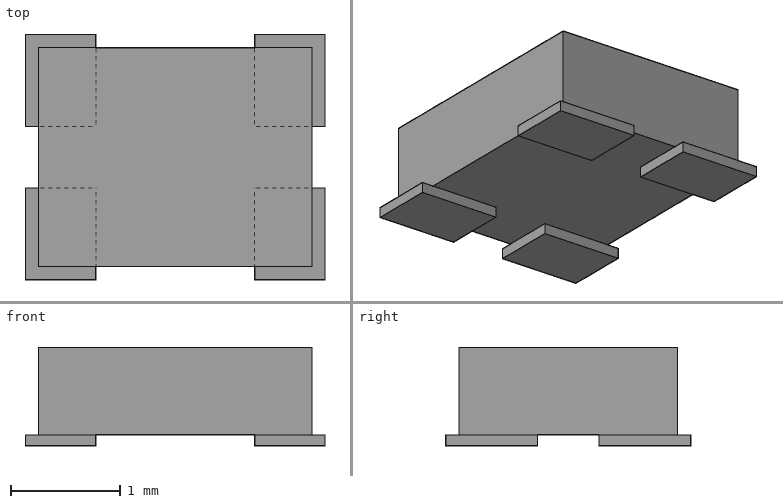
import cadquery as cq

footprint_x = 2.74
footprint_y = 2.24
total_height = 0.9

pad_x = 0.645
pad_y = 0.84
pad_thickness = 0.101

pad_overhang = 0.12
package_x = footprint_x - 2 * pad_overhang
package_y = footprint_y - 2 * pad_overhang
package_height = total_height - pad_thickness

pad_center_x = (footprint_x - pad_x) / 2
pad_center_y = (footprint_y - pad_y) / 2


def make_package():
    """Plain block resting on top of the pads."""
    block = cq.Workplane("XY").box(package_x, package_y, package_height, centered=(True, True, False))
    return block.translate((0, 0, pad_thickness))


def make_pad(side_x, side_y):
    """Flat pad in the corner given by the signs side_x and side_y, with its underside at Z = 0."""
    pad = cq.Workplane("XY").box(pad_x, pad_y, pad_thickness, centered=(True, True, False))
    return pad.translate((side_x * pad_center_x, side_y * pad_center_y, 0))


package = make_package()

pads = []
for side_x in (-1, 1):
    for side_y in (-1, 1):
        pads.append(make_pad(side_x, side_y).val())

result = cq.Compound.makeCompound([package.val(), *pads])